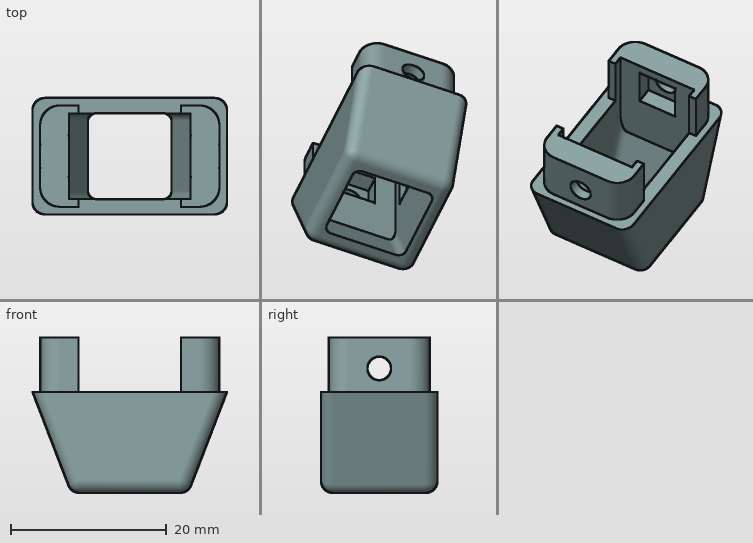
import cadquery as cq
import math

top_length = 25.0
bottom_length = 15.0
width = 15.0
body_height = 13.0
edge_radius = 1.6

wall = 2.0
cavity_edge_radius = 1.0
opening_length = 15.65
taper = (top_length - bottom_length) / 2 / body_height
wall_along_x = wall * math.hypot(1, taper)
cavity_width = width - 2 * wall

ear_height = 7.0
rim_ledge = 1.0
ears_length = top_length - 2 * rim_ledge
ears_width = width - 2 * rim_ledge
ear_corner_radius = 2.5
ear_gap = 13.1

total_height = body_height + ear_height
screw_diameter = 3.0
screw_height = 16.0
nut_size = 5.3
nut_depth = 2.2


def tapered_block(length_bottom, length_top, block_width):
    """Block of body height whose X sides slope between the two lengths."""
    return (
        cq.Workplane("XZ")
        .moveTo(-length_bottom / 2, 0)
        .lineTo(length_bottom / 2, 0)
        .lineTo(length_top / 2, body_height)
        .lineTo(-length_top / 2, body_height)
        .close()
        .extrude(block_width / 2, both=True)
    )


def centred_box(length, box_width, bottom, top):
    """Box centred on the Z axis between two heights."""
    return (
        cq.Workplane("XY")
        .workplane(offset=bottom)
        .rect(length, box_width)
        .extrude(top - bottom)
    )


def make_body():
    """Tapered body with rounded corners and a rounded bottom edge."""
    block = tapered_block(bottom_length, top_length, width)
    return block.edges("not >Z").fillet(edge_radius)


def make_ears():
    """Rounded rectangular upright split into two ears by the gap along X."""
    upright = centred_box(ears_length, ears_width, body_height, total_height)
    upright = upright.edges("|Z").fillet(ear_corner_radius)
    return upright.cut(centred_box(ear_gap, width, body_height, total_height))


def make_cavity():
    """Through cavity: tapered below, with vertical sides from the end blocks up to the ear tops."""
    tapered = tapered_block(
        bottom_length - 2 * wall_along_x,
        top_length - 2 * wall_along_x,
        cavity_width,
    )
    tapered = tapered.edges("not(|X or |Y)").fillet(cavity_edge_radius)
    lower = tapered.intersect(centred_box(opening_length, cavity_width, 0, body_height))
    upper = centred_box(opening_length, cavity_width, body_height, total_height)
    return lower.union(upper)


def make_screw_holes():
    """Screw hole along X through both ears, with the nut pockets at their inner faces."""
    hole = (
        cq.Workplane("YZ")
        .center(0, screw_height)
        .circle(screw_diameter / 2)
        .extrude(top_length / 2, both=True)
    )
    pockets = centred_box(
        opening_length + 2 * nut_depth,
        nut_size,
        screw_height - nut_size / 2,
        screw_height + nut_size / 2,
    )
    return hole.union(pockets)


result = make_body().union(make_ears()).cut(make_cavity()).cut(make_screw_holes())